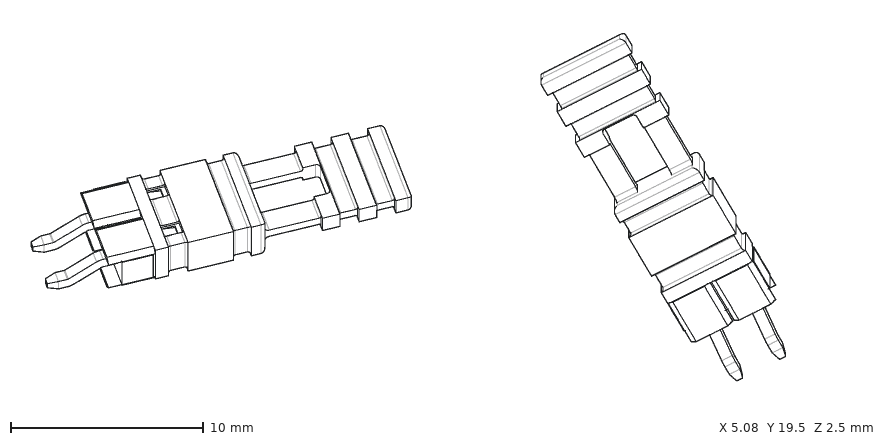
import cadquery as cq
import math

TOTAL_LENGTH = 19.53
HEIGHT = 2.5
PITCH = 2.54
POLE_POSITIONS = (-PITCH / 2, PITCH / 2)

HANDLE_WIDTH = 5.0
HANDLE_BOTTOM = 0.1
HANDLE_HEIGHT = HEIGHT - HANDLE_BOTTOM
HANDLE_MID_Z = HANDLE_BOTTOM + HANDLE_HEIGHT / 2
HANDLE_FRONT = 5.55

GROOVE_DEPTH = 0.18
CORE_WIDTH = HANDLE_WIDTH - 2 * GROOVE_DEPTH
CORE_HEIGHT = HANDLE_HEIGHT - 2 * GROOVE_DEPTH

COLLAR_LENGTH = 0.72
WINDOW_LENGTH = 1.05
GRIP_LENGTH = 2.48
REAR_GROOVE_LENGTH = 0.95
HEAD_LENGTH = 0.82
COLLAR_END = HANDLE_FRONT + COLLAR_LENGTH
GRIP_START = COLLAR_END + WINDOW_LENGTH
GRIP_END = GRIP_START + GRIP_LENGTH
HEAD_START = GRIP_END + REAR_GROOVE_LENGTH
HEAD_END = HEAD_START + HEAD_LENGTH
HEAD_ROUNDING = 0.3
WIDE_GROOVE_FILLET = 0.15
GRIP_GROOVE_FILLET = 0.12

TAB_WIDTH = 4.5
TAB_THICKNESS = 0.53
TAB_ROOT_FILLET = 0.23
RIB_HEIGHT = 1.04
RIB_LENGTH = 0.95
RIB_PITCH = 2.0
RIB_COUNT = 3
FIRST_RIB_START = 14.63
RIB_FILLET = 0.12
TAB_END_ROUNDING = 0.25

SLOT_WIDTH = 2.0
SLOT_END = 15.53
SLOT_CORNER_RADIUS = 0.2

WINDOW_WIDTH = 0.72
WINDOW_FLOOR_Z = 2.19
POCKET_WIDTH = 0.5
POCKET_LENGTH = 0.76
POCKET_MARGIN = 0.04
POCKET_DEPTH = 0.14

PLATE_LENGTH = PITCH
PLATE_WIDTH = 2.46
PLATE_THICKNESS = 0.3
BACK_WALL = 0.12
BLOCK_LENGTH = 1.7
BLOCK_WIDTH = 2 * PITCH
BLOCK_HEIGHT = HEIGHT - 2 * PLATE_THICKNESS
HEADER_BACK = HANDLE_FRONT
BLOCK_BACK = HEADER_BACK - BACK_WALL

PIN_SIZE = 0.62
PIN_Z = 1.27
PIN_LOW_Z = PIN_SIZE / 2
PIN_BEND_RADIUS = 0.41
PIN_BEND_ANGLE = math.radians(29)
PIN_BEND_START = 2.99
PIN_TIP_LENGTH = 0.57
PIN_TIP_SIZE = 0.35


def bar(width, height, start, end, mid_z):
    """Rectangular bar along Y, centred on X = 0 and on mid_z."""
    return cq.Workplane().box(width, end - start, height).translate((0, (start + end) / 2, mid_z))


def fillet_inner_corner(body, y, width, height, radius, direction=None):
    """Fillet where a bar of this width and height meets a step at y, on edges of one direction or all."""
    margin = 0.02
    reach_x = width / 2 + margin
    reach_z = height / 2 + margin
    ring = cq.selectors.BoxSelector(
        (-reach_x, y - margin, HANDLE_MID_Z - reach_z),
        (reach_x, y + margin, HANDLE_MID_Z + reach_z),
    )
    return body.edges(ring).edges(direction).fillet(radius)


def make_grip():
    """Grip: three full-size sections on a core that leaves two grooves."""
    grip = bar(CORE_WIDTH, CORE_HEIGHT, HANDLE_FRONT, HEAD_START + HEAD_LENGTH / 2, HANDLE_MID_Z)
    head = bar(HANDLE_WIDTH, HANDLE_HEIGHT, HEAD_START, HEAD_END, HANDLE_MID_Z)
    grip = grip.union(head.faces(">Y").edges().fillet(HEAD_ROUNDING))
    for start, end in ((HANDLE_FRONT, COLLAR_END), (GRIP_START, GRIP_END)):
        grip = grip.union(bar(HANDLE_WIDTH, HANDLE_HEIGHT, start, end, HANDLE_MID_Z))
    for y in (COLLAR_END, HEAD_START):
        grip = fillet_inner_corner(grip, y, CORE_WIDTH, CORE_HEIGHT, WIDE_GROOVE_FILLET)
    for y in (GRIP_START, GRIP_END):
        grip = fillet_inner_corner(grip, y, CORE_WIDTH, CORE_HEIGHT, GRIP_GROOVE_FILLET)
    return grip


def make_tab():
    """Pull tab: a thin web rooted in the head, with cross ribs, the last one rounded at the end."""
    rib_starts = [FIRST_RIB_START + i * RIB_PITCH for i in range(RIB_COUNT)]
    tab = bar(TAB_WIDTH, TAB_THICKNESS, HEAD_END, rib_starts[-1], HANDLE_MID_Z)
    root = bar(TAB_WIDTH, RIB_HEIGHT, HEAD_END - HEAD_ROUNDING, HEAD_END, HANDLE_MID_Z)
    tab = tab.union(root)
    tab = fillet_inner_corner(tab, HEAD_END, TAB_WIDTH, TAB_THICKNESS, TAB_ROOT_FILLET, "|X")
    for start in rib_starts:
        end = min(start + RIB_LENGTH, TOTAL_LENGTH)
        rib = bar(HANDLE_WIDTH, RIB_HEIGHT, start, end, HANDLE_MID_Z)
        if start == rib_starts[-1]:
            rib = rib.faces(">Y").edges().fillet(TAB_END_ROUNDING)
        tab = tab.union(rib)
    steps = rib_starts + [start + RIB_LENGTH for start in rib_starts[:-1]]
    for y in steps:
        tab = fillet_inner_corner(tab, y, TAB_WIDTH, TAB_THICKNESS, RIB_FILLET, "|X")
    return tab


def make_slot():
    """Cutter for the opening between the grip and the second rib."""
    slot = bar(SLOT_WIDTH, HEIGHT, HEAD_END, SLOT_END, HANDLE_MID_Z)
    return slot.faces(">Y").edges("|Z").fillet(SLOT_CORNER_RADIUS)


def make_pocket(x):
    """Wedge cutter for a window floor, deepest at its end toward the grip."""
    start = COLLAR_END + POCKET_MARGIN
    return (
        cq.Workplane("YZ", origin=(x - POCKET_WIDTH / 2, start, WINDOW_FLOOR_Z))
        .polyline([(0, 0), (POCKET_LENGTH, 0), (POCKET_LENGTH, -POCKET_DEPTH)])
        .close()
        .extrude(POCKET_WIDTH)
    )


def make_handle():
    """Grip and pull tab in one, with a slot in the tab and a window over each pole."""
    handle = make_grip().union(make_tab()).cut(make_slot())
    window_depth = HEIGHT - WINDOW_FLOOR_Z
    window_mid_z = WINDOW_FLOOR_Z + window_depth / 2
    for x in POLE_POSITIONS:
        window = bar(WINDOW_WIDTH, window_depth, COLLAR_END, GRIP_START, window_mid_z)
        handle = handle.cut(window.translate((x, 0, 0)))
        handle = handle.cut(make_pocket(x))
    return handle


def make_header():
    """Block with chamfered plates and a back wall for each pole, and a hole through for each pin."""
    header = bar(BLOCK_WIDTH, BLOCK_HEIGHT, BLOCK_BACK - BLOCK_LENGTH, BLOCK_BACK, HEIGHT / 2)
    for x in POLE_POSITIONS:
        pole = bar(PLATE_WIDTH, HEIGHT, HEADER_BACK - PLATE_LENGTH, HEADER_BACK, HEIGHT / 2)
        pole = pole.edges("|Y").chamfer(PLATE_THICKNESS)
        pole = pole.cut(bar(BLOCK_WIDTH, BLOCK_HEIGHT, 0, BLOCK_BACK, HEIGHT / 2))
        header = header.union(pole.translate((x, 0, 0)))
    for x in POLE_POSITIONS:
        hole = bar(PIN_SIZE, PIN_SIZE, 0, HEADER_BACK, PIN_Z)
        header = header.cut(hole.translate((x, 0, 0)))
    return header


def make_pin(x):
    """Pin running from the back of the header, stepping down to the tapered tip."""
    bend_run = PIN_BEND_RADIUS * math.sin(PIN_BEND_ANGLE)
    bend_drop = PIN_BEND_RADIUS * (1 - math.cos(PIN_BEND_ANGLE))
    slope_drop = PIN_Z - PIN_LOW_Z - 2 * bend_drop
    slope_run = slope_drop / math.tan(PIN_BEND_ANGLE)
    slope_start = (PIN_BEND_START - bend_run, PIN_Z - bend_drop)
    slope_end = (slope_start[0] - slope_run, PIN_LOW_Z + bend_drop)
    foot_start = (slope_end[0] - bend_run, PIN_LOW_Z)
    path = (
        cq.Workplane("YZ", origin=(x, 0, 0))
        .moveTo(HEADER_BACK, PIN_Z)
        .lineTo(PIN_BEND_START, PIN_Z)
        .tangentArcPoint(slope_start, relative=False)
        .lineTo(*slope_end)
        .tangentArcPoint(foot_start, relative=False)
        .lineTo(PIN_TIP_LENGTH, PIN_LOW_Z)
    )
    wire = (
        cq.Workplane("XZ", origin=(x, HEADER_BACK, PIN_Z))
        .rect(PIN_SIZE, PIN_SIZE)
        .sweep(path)
    )
    tip = (
        cq.Workplane("XZ", origin=(x, PIN_TIP_LENGTH, PIN_LOW_Z))
        .rect(PIN_SIZE, PIN_SIZE)
        .workplane(offset=PIN_TIP_LENGTH)
        .rect(PIN_TIP_SIZE, PIN_TIP_SIZE)
        .loft(ruled=True)
    )
    return wire.union(tip)


handle = make_handle()
header = make_header()
pins = [make_pin(x) for x in POLE_POSITIONS]

result = cq.Compound.makeCompound([handle.val(), header.val(), *[pin.val() for pin in pins]])